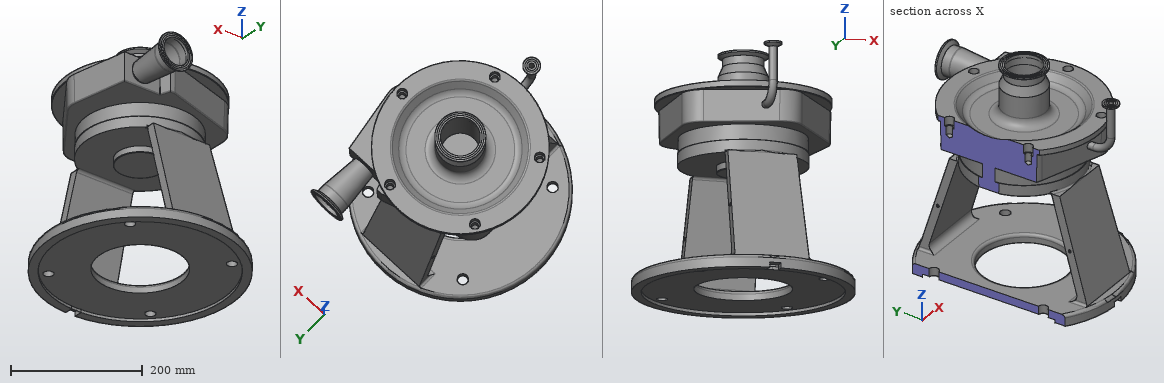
import cadquery as cq
import math

BASE_R = 170.0
BASE_T = 20.0
BASE_EDGE_R = 5.0
BASE_BORE_R = 75.0
RECESS_R = 155.0
RECESS_DEPTH = 5.0
ANCHOR_PCD = 280.0
ANCHOR_D = 17.0
ANCHOR_COUNT = 4
ANCHOR_START = 45.0
NOTCH_W = 18.0
NOTCH_H = 8.0

BODY_Z = 196.0
BODY_R = 100.0
BODY_STEP_Z = 215.0
NECK_R = 99.0
HUB_R = 41.0
HUB_H = 11.0
HUB_CHAMFER = 1.0

LEG_FOOT_Y = 153.0
LEG_THICK_Y = 15.0
LEG_FOOT_W = 118.0
LEG_HEAD_W = 109.0
LEG_COVE_R = 12.0
LEG_HEAD_COVE_R = 6.0
LEG_SIDE_COVE_R = 4.0
LEG_COLLAR_R = 3.0
LEG_HOLE_D = 5.0
LEG_HOLE_DEPTH = 10.0
LEG_HOLE_Z = 106.0

VOLUTE_Z = 239.0
VOLUTE_TOP = 289.0
VOLUTE_APOTHEM = 115.0
VOLUTE_CORNER_R = 35.0
VOLUTE_SIDES = 5
VOLUTE_EDGE_R = 1.5
VOLUTE_DRAFT = 1.0
OUTLET_FACE_Y = 115.4
OUTLET_OUTER_X = 123.0
OUTLET_TAPER = 9.0
OUTLET_TIP_Y = 133.5
OUTLET_TIP_X = 48.0
OUTLET_ROOT_X = 54.0

COVER_R = 135.0
COVER_TOP = 299.0
COVER_EDGE = 1.0
DISH_FLOOR_Z = 282.0
DISH_FLOOR_R = 82.5
DISH_FILLET_R = 15.0
DISH_WALL_ANGLE = 48.0
DISH_RIM_R = 4.0
SCREW_COUNT = 5
SCREW_PCD = 243.0
SCREW_HEAD_D = 16.0
SCREW_HEAD_DEPTH = 15.0
SCREW_HOLE_D = 11.0
SCREW_HOLE_DEPTH = 30.0
DRILL_HALF_ANGLE = 59.0

SUCTION_TOP = 369.0
SUCTION_R = 38.5
SUCTION_TUBE_R = 31.75
SUCTION_BORE_R = 30.1
SUCTION_FERRULE_R = 38.75
SUCTION_CONE_Z = 334.5
SUCTION_TUBE_Z = 350.0

DISCHARGE_X = 90.4
DISCHARGE_Z = (VOLUTE_Z + VOLUTE_TOP) / 2
DISCHARGE_END_Y = 200.0
DISCHARGE_ROOT_R = 19.0
DISCHARGE_TUBE_R = 25.0
DISCHARGE_ROOT_CHAMFER = 2.0
DISCHARGE_OVERLAP = 5.0
DISCHARGE_FERRULE_R = 32.0
DISCHARGE_TUBE_Y = 179.0
DISCHARGE_WALL = 1.65

PIPE_Y = -157.2
PIPE_R = 6.35
PIPE_BORE_R = 4.0
PIPE_Z = 266.0
PIPE_BEND_R = 28.5
PIPE_TOP = 354.0
PIPE_FERRULE_R = 13.5
PIPE_ROOT_Y = -112.0

FERRULE_T = 2.8
FERRULE_CONE = 4.0
GROOVE_R = 1.5
GROOVE_LIFT = 0.5


def cylinder(radius, z_low, z_high):
    return cq.Workplane("XY").workplane(offset=z_low).circle(radius).extrude(z_high - z_low)


def revolve(points):
    """Turn an outline of (radius, height) points about the Z axis."""
    return cq.Workplane("XZ").polyline(points).close().revolve(360, (0, 0), (0, 1))


def groove(radius, face_z):
    """Ring that cuts a gasket groove into a ferrule sealing face."""
    ring = cq.Workplane("XZ").center(radius, face_z + GROOVE_LIFT).circle(GROOVE_R)
    return ring.revolve(360, (-radius, 0), (-radius, 1))


def drilled_hole(diameter, depth):
    """Blind hole pointing down from the origin, with a conical drill point."""
    radius = diameter / 2
    point = radius / math.tan(math.radians(DRILL_HALF_ANGLE))
    return revolve([(0, 0), (radius, 0), (radius, -depth), (0, -depth - point)])


def base_plate():
    plate = cylinder(BASE_R, 0, BASE_T).cut(cylinder(BASE_BORE_R, 0, BASE_T))
    return plate.faces(">Z").edges().fillet(BASE_EDGE_R)


def base_cuts():
    anchors = (
        cq.Workplane("XY")
        .polarArray(ANCHOR_PCD / 2, ANCHOR_START, 360, ANCHOR_COUNT)
        .circle(ANCHOR_D / 2)
        .extrude(BASE_T)
    )
    rim_length = BASE_R - RECESS_R
    notch = cq.Workplane("XY").center(0, -BASE_R).rect(NOTCH_W, 2 * rim_length).extrude(NOTCH_H)
    return anchors.union(notch).union(cylinder(RECESS_R, 0, RECESS_DEPTH))


def leg():
    """Leaning leg on the -Y side, standing on the base plate with a flared foot."""
    rise = BODY_Z - BASE_T
    lean = LEG_FOOT_Y - BODY_R
    lean_angle = math.atan2(rise, lean)
    cove_reach = LEG_COVE_R / math.tan(lean_angle / 2)
    inner_foot_y = -LEG_FOOT_Y + LEG_THICK_Y
    cove_top = (
        inner_foot_y + cove_reach * math.cos(lean_angle),
        BASE_T + cove_reach * math.sin(lean_angle),
    )
    inner_head_y = -BODY_R + LEG_THICK_Y
    head_reach = LEG_HEAD_COVE_R * math.tan(lean_angle / 2)
    head_cove_end = (
        inner_head_y - head_reach * math.cos(lean_angle),
        BODY_Z - head_reach * math.sin(lean_angle),
    )
    slab = (
        cq.Workplane("YZ")
        .moveTo(-LEG_FOOT_Y, BASE_T)
        .lineTo(-BODY_R, BODY_Z)
        .lineTo(inner_head_y + head_reach, BODY_Z)
        .radiusArc(head_cove_end, -LEG_HEAD_COVE_R)
        .lineTo(*cove_top)
        .radiusArc((inner_foot_y + cove_reach, BASE_T), -LEG_COVE_R)
        .close()
        .extrude(LEG_FOOT_W, both=True)
    )

    def half_width(z):
        return LEG_FOOT_W / 2 - (LEG_FOOT_W - LEG_HEAD_W) / 2 * (z - BASE_T) / rise

    flare_z = BASE_T + LEG_SIDE_COVE_R
    flare_x = half_width(flare_z)
    foot_x = flare_x + LEG_SIDE_COVE_R
    front = (
        cq.Workplane("XZ")
        .moveTo(-foot_x, BASE_T)
        .radiusArc((-flare_x, flare_z), -LEG_SIDE_COVE_R)
        .lineTo(-LEG_HEAD_W / 2, BODY_Z)
        .lineTo(LEG_HEAD_W / 2, BODY_Z)
        .lineTo(flare_x, flare_z)
        .radiusArc((foot_x, BASE_T), -LEG_SIDE_COVE_R)
        .close()
        .extrude(BASE_R)
    )
    hole_y = inner_foot_y - LEG_THICK_Y / 2 + lean * (LEG_HOLE_Z - BASE_T) / rise
    hole = (
        drilled_hole(LEG_HOLE_D, LEG_HOLE_DEPTH)
        .rotate((0, 0, 0), (0, 1, 0), -90)
        .translate((-half_width(LEG_HOLE_Z), hole_y, LEG_HOLE_Z))
    )
    return slab.intersect(front).cut(hole)


def stand():
    """Base plate with both legs."""
    front_leg = leg()
    return base_plate().union(front_leg).union(front_leg.mirror("XZ")).cut(base_cuts())


def leg_collars():
    """Fillet between the body and the flat tops of the legs."""
    outer = BODY_R + LEG_COLLAR_R
    ring = (
        cq.Workplane("XZ")
        .moveTo(NECK_R, BODY_Z)
        .lineTo(outer, BODY_Z)
        .radiusArc((BODY_R, BODY_Z + LEG_COLLAR_R), LEG_COLLAR_R)
        .lineTo(NECK_R, BODY_Z + LEG_COLLAR_R)
        .close()
        .revolve(360, (0, 0), (0, 1))
    )
    return ring.intersect(cq.Workplane("XY").box(LEG_HEAD_W, 2 * BODY_R, 4 * BODY_Z))


def bearing_body():
    hub = cylinder(HUB_R, BODY_Z - HUB_H, BODY_Z).faces("<Z").edges().chamfer(HUB_CHAMFER)
    lower = cylinder(BODY_R, BODY_Z, BODY_STEP_Z)
    upper = cylinder(NECK_R, BODY_STEP_Z, VOLUTE_Z)
    return hub.union(lower).union(upper)


def volute():
    """Pentagonal casing whose +X corner opens into the outlet block."""
    half_angle = math.pi / VOLUTE_SIDES
    corner_r = VOLUTE_APOTHEM / math.cos(half_angle)

    def corner(index):
        angle = 2 * half_angle * index
        return (corner_r * math.cos(angle), corner_r * math.sin(angle))

    slope = math.tan(math.radians(OUTLET_TAPER))
    wall_x = OUTLET_OUTER_X + slope * OUTLET_FACE_Y
    cos_n = math.cos(half_angle)
    sin_n = -math.sin(half_angle)
    nose_y = (VOLUTE_APOTHEM - wall_x * cos_n) / (sin_n - slope * cos_n)
    nose = (wall_x - slope * nose_y, nose_y)

    face_angle = 3 * half_angle
    tip_x = (VOLUTE_APOTHEM - OUTLET_TIP_Y * math.sin(face_angle)) / math.cos(face_angle)

    outline = [
        corner(2),
        corner(3),
        corner(4),
        nose,
        (OUTLET_OUTER_X, OUTLET_FACE_Y),
        (OUTLET_ROOT_X, OUTLET_FACE_Y),
        (OUTLET_TIP_X, OUTLET_TIP_Y),
        (tip_x, OUTLET_TIP_Y),
    ]
    height = VOLUTE_TOP - VOLUTE_Z
    top_face = cq.Workplane("XY").workplane(offset=VOLUTE_TOP).polyline(outline).close()
    block = top_face.extrude(-height, taper=VOLUTE_DRAFT)
    for x, y in (corner(2), corner(3), corner(4), nose):
        edge = cq.NearestToPointSelector((x, y, VOLUTE_Z + height / 2))
        block = block.edges(edge).fillet(VOLUTE_CORNER_R)
    return block.faces("<Z").edges().fillet(VOLUTE_EDGE_R)


def cover():
    plate = cylinder(COVER_R, VOLUTE_TOP, COVER_TOP)
    return plate.faces("<Z").edges().chamfer(COVER_EDGE)


def dish():
    """Ring-shaped hollow in the cover, sweeping up to the suction nozzle."""
    angle = math.radians(DISH_WALL_ANGLE)
    wall_foot = (
        DISH_FLOOR_R + DISH_FILLET_R * math.sin(angle),
        DISH_FLOOR_Z + DISH_FILLET_R * (1 - math.cos(angle)),
    )
    wall_head_r = wall_foot[0] + (COVER_TOP - wall_foot[1]) / math.tan(angle)
    rim_reach = DISH_RIM_R * math.tan(angle / 2)
    neck_fillet_r = SUCTION_R + DISH_FILLET_R
    neck_fillet_z = DISH_FLOOR_Z + DISH_FILLET_R
    return (
        cq.Workplane("XZ")
        .moveTo(SUCTION_R, COVER_TOP)
        .lineTo(SUCTION_R, neck_fillet_z)
        .radiusArc((neck_fillet_r, DISH_FLOOR_Z), -DISH_FILLET_R)
        .lineTo(DISH_FLOOR_R, DISH_FLOOR_Z)
        .radiusArc(wall_foot, -DISH_FILLET_R)
        .lineTo(wall_head_r - rim_reach * math.cos(angle), COVER_TOP - rim_reach * math.sin(angle))
        .radiusArc((wall_head_r + rim_reach, COVER_TOP), DISH_RIM_R)
        .close()
        .revolve(360, (0, 0), (0, 1))
    )


def screw_holes():
    head = cylinder(SCREW_HEAD_D / 2, -SCREW_HEAD_DEPTH, 0)
    hole = head.union(drilled_hole(SCREW_HOLE_D, SCREW_HOLE_DEPTH))
    hole = hole.translate((SCREW_PCD / 2, 0, COVER_TOP))
    cutter = hole
    for index in range(1, SCREW_COUNT):
        cutter = cutter.union(hole.rotate((0, 0, 0), (0, 0, 1), 360 / SCREW_COUNT * index))
    return cutter


def suction_nozzle():
    rim_z = SUCTION_TOP - FERRULE_T
    outside = revolve([
        (0, DISH_FLOOR_Z),
        (SUCTION_R, DISH_FLOOR_Z),
        (SUCTION_R, SUCTION_CONE_Z),
        (SUCTION_TUBE_R, SUCTION_TUBE_Z),
        (SUCTION_TUBE_R, rim_z - FERRULE_CONE),
        (SUCTION_FERRULE_R, rim_z),
        (SUCTION_FERRULE_R, SUCTION_TOP),
        (0, SUCTION_TOP),
    ])
    groove_r = (SUCTION_BORE_R + SUCTION_FERRULE_R) / 2
    return outside.cut(groove(groove_r, SUCTION_TOP))


def suction_bore():
    return cylinder(SUCTION_BORE_R, DISCHARGE_Z, SUCTION_TOP)


def discharge_nozzle():
    """Outlet cone and ferrule, turned about Z and then laid along +Y."""
    length = DISCHARGE_END_Y - OUTLET_FACE_Y
    tube_at = DISCHARGE_TUBE_Y - OUTLET_FACE_Y
    rim_at = length - FERRULE_T
    outside = revolve([
        (0, -DISCHARGE_OVERLAP),
        (DISCHARGE_ROOT_R - DISCHARGE_ROOT_CHAMFER, -DISCHARGE_OVERLAP),
        (DISCHARGE_ROOT_R - DISCHARGE_ROOT_CHAMFER, 0),
        (DISCHARGE_ROOT_R, DISCHARGE_ROOT_CHAMFER),
        (DISCHARGE_TUBE_R, tube_at),
        (DISCHARGE_TUBE_R, rim_at - FERRULE_CONE),
        (DISCHARGE_FERRULE_R, rim_at),
        (DISCHARGE_FERRULE_R, length),
        (0, length),
    ])
    bore_r = DISCHARGE_TUBE_R - DISCHARGE_WALL
    root_bore_r = DISCHARGE_ROOT_R - DISCHARGE_ROOT_CHAMFER - DISCHARGE_WALL
    bore = revolve([(0, 0), (root_bore_r, 0), (bore_r, tube_at), (bore_r, length), (0, length)])
    seal = groove((bore_r + DISCHARGE_FERRULE_R) / 2, length)
    nozzle = outside.cut(bore).cut(seal).rotate((0, 0, 0), (1, 0, 0), -90)
    return nozzle.translate((DISCHARGE_X, OUTLET_FACE_Y, DISCHARGE_Z))


def pipe_rod(radius):
    """Round rod along the flush pipe: out of the volute, round the bend and up."""
    path = (
        cq.Workplane("YZ")
        .moveTo(PIPE_ROOT_Y, PIPE_Z)
        .lineTo(PIPE_Y + PIPE_BEND_R, PIPE_Z)
        .radiusArc((PIPE_Y, PIPE_Z + PIPE_BEND_R), PIPE_BEND_R)
        .lineTo(PIPE_Y, PIPE_TOP)
    )
    section = cq.Workplane("XZ", origin=(0, PIPE_ROOT_Y, 0)).center(0, PIPE_Z).circle(radius)
    return section.sweep(path)


def flush_ferrule():
    rim_z = PIPE_TOP - FERRULE_T
    disc = revolve([
        (0, rim_z - FERRULE_CONE),
        (PIPE_R, rim_z - FERRULE_CONE),
        (PIPE_FERRULE_R, rim_z),
        (PIPE_FERRULE_R, PIPE_TOP),
        (0, PIPE_TOP),
    ])
    groove_r = (PIPE_BORE_R + PIPE_FERRULE_R) / 2
    return disc.cut(groove(groove_r, PIPE_TOP)).translate((0, PIPE_Y, 0))


result = (
    stand()
    .union(bearing_body())
    .union(leg_collars())
    .union(volute())
    .union(cover())
    .cut(dish())
    .union(suction_nozzle())
    .union(discharge_nozzle())
    .union(pipe_rod(PIPE_R))
    .union(flush_ferrule())
    .cut(suction_bore())
    .cut(screw_holes())
    .cut(pipe_rod(PIPE_BORE_R))
)